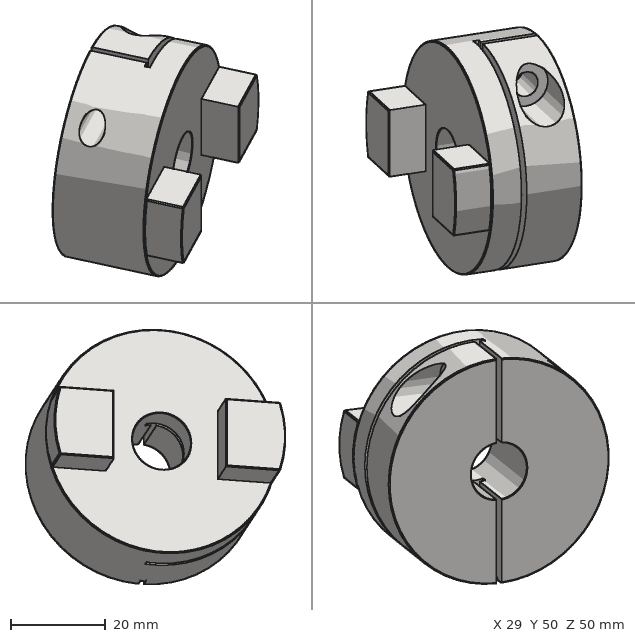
import cadquery as cq
import math

outer_radius = 25.0
hub_length = 20.6
total_length = 29.0
bore_diameter = 12.6
edge_chamfer = 0.25
bore_chamfer = 0.15

jaw_width = 15.2
jaw_inner_y = 12.1

slit_width = 1.2
cross_slit_x = 12.7
cross_slit_end_y = -1.8
saw_radius = 25.0
floor_start_x = 2.15
floor_end_z = -11.3

screw_x = cross_slit_x / 2
screw_z = 18.0
screw_diameter = 5.5
head_diameter = 10.0
head_seat_y = 9.0


def make_hub():
    return cq.Workplane("YZ").circle(outer_radius).extrude(hub_length).edges().chamfer(edge_chamfer)


def make_jaw(side):
    """Jaw bounded by the hub cylinder; side is +1 or -1 along Y."""
    length = total_length - hub_length
    radial_length = outer_radius - jaw_inner_y
    block = (
        cq.Workplane("YZ", origin=(hub_length, 0, 0))
        .center(side * (jaw_inner_y + radial_length / 2), 0)
        .rect(radial_length, jaw_width)
        .extrude(length)
    )
    cylinder = cq.Workplane("YZ", origin=(hub_length, 0, 0)).circle(outer_radius).extrude(length)
    outer_face = ">Y" if side > 0 else "<Y"
    jaw = block.intersect(cylinder)
    return jaw.faces(">X").edges().add(jaw.faces(outer_face).edges()).chamfer(edge_chamfer)


def cross_slit():
    """Slit across the axis, separating the clamp half from the hub."""
    depth = outer_radius - cross_slit_end_y
    return cq.Workplane("XY").box(slit_width, depth, 2 * outer_radius, centered=(False, False, True)).translate(
        (cross_slit_x, cross_slit_end_y, 0)
    )


def axial_slit():
    """Slit in the XZ plane; below the bore it ends in a concave saw-cut floor."""
    run = cross_slit_x - floor_start_x
    rise = floor_end_z + outer_radius
    chord = math.hypot(run, rise)
    sagitta = saw_radius - math.sqrt(saw_radius**2 - (chord / 2) ** 2)
    floor_middle = (
        floor_start_x + run / 2 + sagitta * rise / chord,
        -outer_radius + rise / 2 - sagitta * run / chord,
    )
    return (
        cq.Workplane("XZ")
        .moveTo(0, -outer_radius)
        .lineTo(floor_start_x, -outer_radius)
        .threePointArc(floor_middle, (cross_slit_x, floor_end_z))
        .lineTo(cross_slit_x, outer_radius)
        .lineTo(0, outer_radius)
        .close()
        .extrude(slit_width / 2, both=True)
    )


def screw_hole():
    """Through hole with a head counterbore opening towards +Y."""
    hole = (
        cq.Workplane("XZ", origin=(screw_x, 0, screw_z))
        .circle(screw_diameter / 2)
        .extrude(outer_radius, both=True)
    )
    head = (
        cq.Workplane("XZ", origin=(screw_x, head_seat_y, screw_z))
        .circle(head_diameter / 2)
        .extrude(head_seat_y - outer_radius)
    )
    return hole.union(head)


def cut_bore(body):
    bored = body.cut(cq.Workplane("YZ").circle(bore_diameter / 2).extrude(hub_length))
    bore_edges = cq.selectors.RadiusNthSelector(0)
    return bored.edges("%CIRCLE").edges(bore_edges).chamfer(bore_chamfer)


result = cut_bore(make_hub())
for jaw_side in (1, -1):
    result = result.union(make_jaw(jaw_side))
for cutter in (cross_slit(), axial_slit(), screw_hole()):
    result = result.cut(cutter)